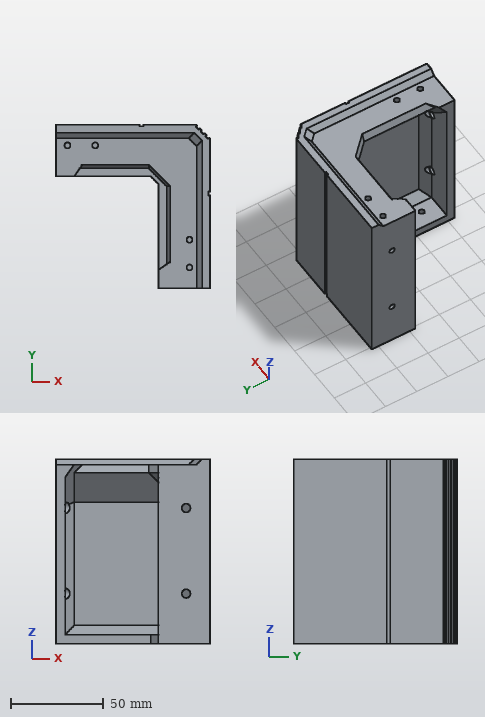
import cadquery as cq
import math


leg_x_length = 83.5
leg_y_length = 88.5
height = 100
leg_width = 28
outer_corner_cut = 7.6
inner_corner_cut = 4.2

lip_width = 4.4
lip_height = 3
deck_z = height - lip_height

wall_depth = 7.6
wall_corner_cut = 14.4
floor_z = 5
floor_bevel = 5
floor_corner_cut = 7
ceiling_start_z = 76.7
ceiling_rise = 16
ceiling_corner_cut = 9.7
opening_draft = 2
opening_corner_cut = ceiling_corner_cut + opening_draft
end_wall = 5
end_bevel = 5
ceiling_end_z = ceiling_start_z + ceiling_rise
ceiling_end_depth = wall_depth + ceiling_rise

end_hole_depth = 13
end_hole_heights = (27.2, 73.5)
end_hole_x_diameter = 3.3
end_hole_y_diameter = 4.7
head_clearance_diameter = 6

pin_hole_diameter = 3.2
deck_hole_depth = 11.2
deck_hole_alongs = (62.2, 77.2)
deck_hole_drilling = 10
floor_hole_depth = 18.4
floor_hole_from_end = 15

groove_width = 2
groove_cut = 0.8
groove_along = 37.2
corner_groove_pitch = 3.6

reach = 2 * height


def swap_legs(shape):
    """Mirror a shape across the plane X = Y, from one leg to the other."""
    return shape.mirror((1, -1, 0))


def inside_points(depth, corner_cut, end_x, end_y):
    """Rectangle set in by depth from the outer faces, with its outer corner cut at 45 degrees."""
    return [
        (-end_x, -depth),
        (-depth - corner_cut, -depth),
        (-depth, -depth - corner_cut),
        (-depth, -end_y),
        (-end_x, -end_y),
    ]


def inside_prism(depth, corner_cut, bottom, top, end_x=reach, end_y=reach):
    points = inside_points(depth, corner_cut, end_x, end_y)
    return cq.Workplane("XY").workplane(offset=bottom).polyline(points).close().extrude(top - bottom)


def inside_loft(bottom, bottom_depth, bottom_cut, top, top_depth, top_cut, end_x=reach, end_y=reach):
    return (
        cq.Workplane("XY")
        .workplane(offset=bottom)
        .polyline(inside_points(bottom_depth, bottom_cut, end_x, end_y))
        .close()
        .workplane(offset=top - bottom)
        .polyline(inside_points(top_depth, top_cut, end_x, end_y))
        .close()
        .loft(ruled=True, combine=True)
    )


def make_body():
    """L-shaped block with the step behind the raised lip."""
    block = inside_prism(0, outer_corner_cut, 0, height, leg_x_length, leg_y_length)
    inner_space = inside_prism(leg_width, inner_corner_cut, 0, height)
    step = inside_loft(
        deck_z, lip_width + lip_height, inner_corner_cut,
        height, lip_width, inner_corner_cut,
    )
    return block.cut(inner_space).cut(step)


def end_bevels(leg_length):
    """Material left in the cavity at the end of the X leg: 45-degree bevels on wall and ceiling."""
    wall_end = -leg_length + end_wall
    upright = (
        cq.Workplane("XY")
        .polyline([
            (wall_end, -wall_depth),
            (wall_end + end_bevel, -wall_depth),
            (wall_end, -wall_depth - end_bevel),
        ])
        .close()
        .extrude(height)
    )
    ceiling_edge = cq.Plane(
        origin=(wall_end, -wall_depth, ceiling_start_z), xDir=(1, 0, 0), normal=(0, -1, 1)
    )
    bevel_top = ceiling_rise
    sloping = (
        cq.Workplane(ceiling_edge)
        .polyline([
            (0, -end_bevel),
            (end_bevel + bevel_top, bevel_top),
            (0, bevel_top),
        ])
        .close()
        .extrude(height / 2, both=True)
    )
    return upright.union(sloping)


def make_cavity():
    ends = (leg_x_length - end_wall, leg_y_length - end_wall)
    bevel_top_z = floor_z + floor_bevel
    floor_part = inside_loft(
        floor_z, wall_depth + floor_bevel, floor_corner_cut,
        bevel_top_z, wall_depth, floor_corner_cut, *ends,
    )
    wall_part = inside_prism(wall_depth, wall_corner_cut, bevel_top_z, ceiling_start_z, *ends)
    ceiling_part = inside_loft(
        ceiling_start_z, wall_depth, ceiling_corner_cut,
        ceiling_end_z, ceiling_end_depth, ceiling_corner_cut, *ends,
    )
    opening_part = inside_loft(
        ceiling_end_z, ceiling_end_depth, ceiling_corner_cut,
        deck_z, ceiling_end_depth - opening_draft, opening_corner_cut, *ends,
    )
    cavity = floor_part.union(wall_part).union(ceiling_part).union(opening_part)
    cavity = cavity.intersect(inside_prism(wall_depth, wall_corner_cut, 0, height))
    return cavity.cut(end_bevels(leg_x_length)).cut(swap_legs(end_bevels(leg_y_length)))


def end_holes(leg_length, diameter):
    """Holes through the end wall of the X leg, with screw head clearance cut in the bevel."""
    centers = [(-end_hole_depth, z) for z in end_hole_heights]
    end_face = cq.Workplane("YZ", origin=(-leg_length, 0, 0))
    holes = end_face.pushPoints(centers).circle(diameter / 2).extrude(end_wall + end_bevel)
    clearances = (
        end_face.workplane(offset=end_wall)
        .pushPoints(centers)
        .circle(head_clearance_diameter / 2)
        .extrude(end_bevel)
    )
    return holes.union(clearances)


def deck_holes():
    """Blind holes in the top face of the X leg."""
    centers = [(-along, -deck_hole_depth) for along in deck_hole_alongs]
    return (
        cq.Workplane("XY", origin=(0, 0, deck_z))
        .pushPoints(centers)
        .circle(pin_hole_diameter / 2)
        .extrude(-deck_hole_drilling)
    )


def floor_holes():
    """Holes through the floor: one in the corner and one near the end of each leg."""
    centers = [
        (-floor_hole_depth, -floor_hole_depth),
        (-leg_x_length + floor_hole_from_end, -floor_hole_depth),
        (-floor_hole_depth, -leg_y_length + floor_hole_from_end),
    ]
    return cq.Workplane("XY").pushPoints(centers).circle(pin_hole_diameter / 2).extrude(floor_z)


def groove_bar(x, y, angle=0):
    """Upright bar that cuts one groove in a face through (x, y), turned by angle about Z."""
    return (
        cq.Workplane("XY")
        .rect(groove_width, 2 * groove_cut)
        .extrude(height)
        .rotate((0, 0, 0), (0, 0, 1), angle)
        .translate((x, y, 0))
    )


def cut_grooves(body):
    face_groove = groove_bar(-groove_along, 0)
    body = body.cut(face_groove).cut(swap_legs(face_groove))
    step = corner_groove_pitch / math.sqrt(2)
    middle = -outer_corner_cut / 2
    for index in (-1, 0, 1):
        body = body.cut(groove_bar(middle + index * step, middle - index * step, -45))
    return body


result = make_body().cut(make_cavity())
result = result.cut(end_holes(leg_x_length, end_hole_x_diameter))
result = result.cut(swap_legs(end_holes(leg_y_length, end_hole_y_diameter)))
result = result.cut(deck_holes()).cut(swap_legs(deck_holes()))
result = result.cut(floor_holes())
result = cut_grooves(result)